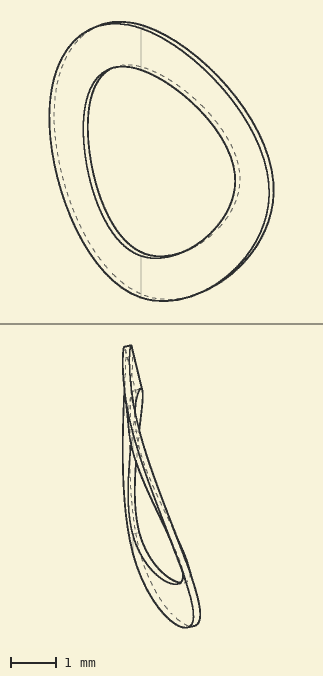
import cadquery as cq

outer_diameter = 6.4
inner_diameter = 4.415
overall_depth = 0.76
thickness = 0.155
wave_height = overall_depth - thickness

seam_speed = 1.5


def half_edge(diameter, offset, side):
    """Wavy rim on one side of the YZ plane (+1 or -1 along X), shifted by offset along the axis."""
    radius = diameter / 2
    crest = offset + wave_height / 2
    trough = offset - wave_height / 2
    points = [
        cq.Vector(0, trough, side * radius),
        cq.Vector(side * radius, crest, 0),
        cq.Vector(0, trough, -side * radius),
    ]
    tangents = [
        cq.Vector(side * seam_speed * radius, 0, 0),
        cq.Vector(-side * seam_speed * radius, 0, 0),
    ]
    return cq.Edge.makeSpline(points, tangents, parameters=[0, 1, 2], scale=False)


def half_faces(side):
    """Front, outer, back and inner faces of one half of the washer."""
    front = -thickness / 2
    back = thickness / 2
    edges = [
        half_edge(inner_diameter, front, side),
        half_edge(outer_diameter, front, side),
        half_edge(outer_diameter, back, side),
        half_edge(inner_diameter, back, side),
    ]
    next_edges = edges[1:] + edges[:1]
    return [cq.Face.makeRuledSurface(a, b) for a, b in zip(edges, next_edges)]


faces = half_faces(1) + half_faces(-1)
washer = cq.Solid.makeSolid(cq.Shell.makeShell(faces)).fix()
result = cq.Workplane("XY").newObject([washer])